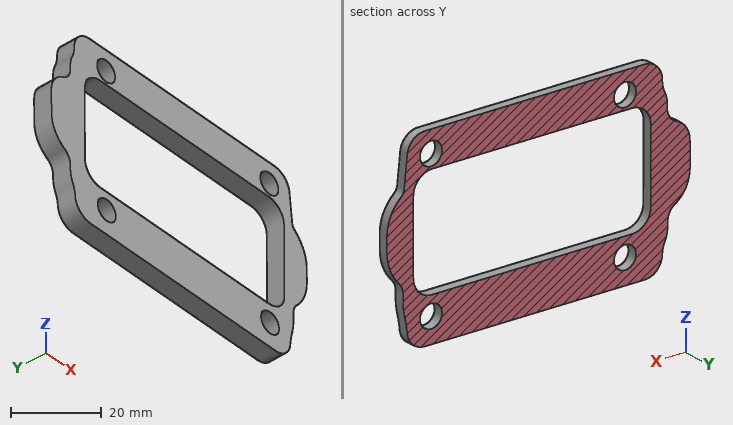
import cadquery as cq

length = 84.55
height = 51.75
thickness = 5.15
lean_angle = 0.3

half_length = length / 2
half_height = height / 2

corner_radius = 5.1
corner_left = -34.6
corner_right = 36.7
corner_z = half_height - corner_radius
corner_diagonal = corner_radius * 0.5 ** 0.5

window_left = -31.2
window_right = 34.75
window_bottom = -13.9
window_top = 16.15
window_radius = 5.1

hole_diameter = 6.0
hole_xs = (-24.1, 29.9)
hole_zs = (-19.0, 19.95)


def corner_middle(side_x, x_sign, z_sign):
    """Point halfway round a rounded outer corner."""
    center_x = side_x - x_sign * corner_radius
    return (center_x + x_sign * corner_diagonal, z_sign * (corner_z + corner_diagonal))


def make_plate():
    """Outline drawn clockwise from the upper left corner, extruded through the thickness."""
    outline = (
        cq.Workplane("XZ", origin=(0, thickness / 2, 0))
        .moveTo(corner_left + corner_radius, half_height)
        .lineTo(corner_right - corner_radius, half_height)
        .threePointArc(corner_middle(corner_right, 1, 1), (corner_right, corner_z))
        .lineTo(37.45, 13.7)
        .threePointArc((37.7, 12.5), (38.5, 11.6))
        .threePointArc((41.2, 8.0), (half_length, 3.7))
        .lineTo(half_length, -0.85)
        .threePointArc((41.3, -5.4), (38.6, -9.2))
        .threePointArc((38.0, -10.5), (37.8, -11.8))
        .lineTo(37.8, -13.95)
        .threePointArc((37.5, -16.3), (37.0, -18.6))
        .lineTo(corner_right, -corner_z)
        .threePointArc(corner_middle(corner_right, 1, -1), (corner_right - corner_radius, -half_height))
        .lineTo(corner_left + corner_radius, -half_height)
        .threePointArc(corner_middle(corner_left, -1, -1), (corner_left, -corner_z))
        .threePointArc((-34.8, -19.3), (-35.4, -17.75))
        .threePointArc((-35.9, -16.1), (-36.1, -14.4))
        .lineTo(-36.1, -13.1)
        .threePointArc((-36.7, -11.25), (-38.2, -9.8))
        .threePointArc((-41.0, -6.9), (-half_length, -2.45))
        .lineTo(-half_length, 4.15)
        .threePointArc((-41.2, 7.8), (-38.3, 10.0))
        .threePointArc((-36.6, 11.4), (-35.9, 13.6))
        .lineTo(-35.9, 14.9)
        .threePointArc((-35.8, 16.2), (-35.3, 17.4))
        .threePointArc((-34.75, 19.1), (corner_left, corner_z))
        .threePointArc(corner_middle(corner_left, -1, 1), (corner_left + corner_radius, half_height))
        .close()
    )
    return outline.extrude(thickness)


def make_window():
    """Rounded rectangular opening."""
    return (
        cq.Workplane("XZ", origin=(0, thickness / 2, 0))
        .center((window_left + window_right) / 2, (window_bottom + window_top) / 2)
        .rect(window_right - window_left, window_top - window_bottom)
        .extrude(thickness)
        .edges("|Y")
        .fillet(window_radius)
    )


def make_holes():
    """Four through bolt holes."""
    return (
        cq.Workplane("XZ", origin=(0, thickness / 2, 0))
        .pushPoints([(x, z) for x in hole_xs for z in hole_zs])
        .circle(hole_diameter / 2)
        .extrude(thickness)
    )


plate = make_plate().cut(make_window()).cut(make_holes())
result = plate.rotate((0, 0, 0), (1, 0, 0), -lean_angle)